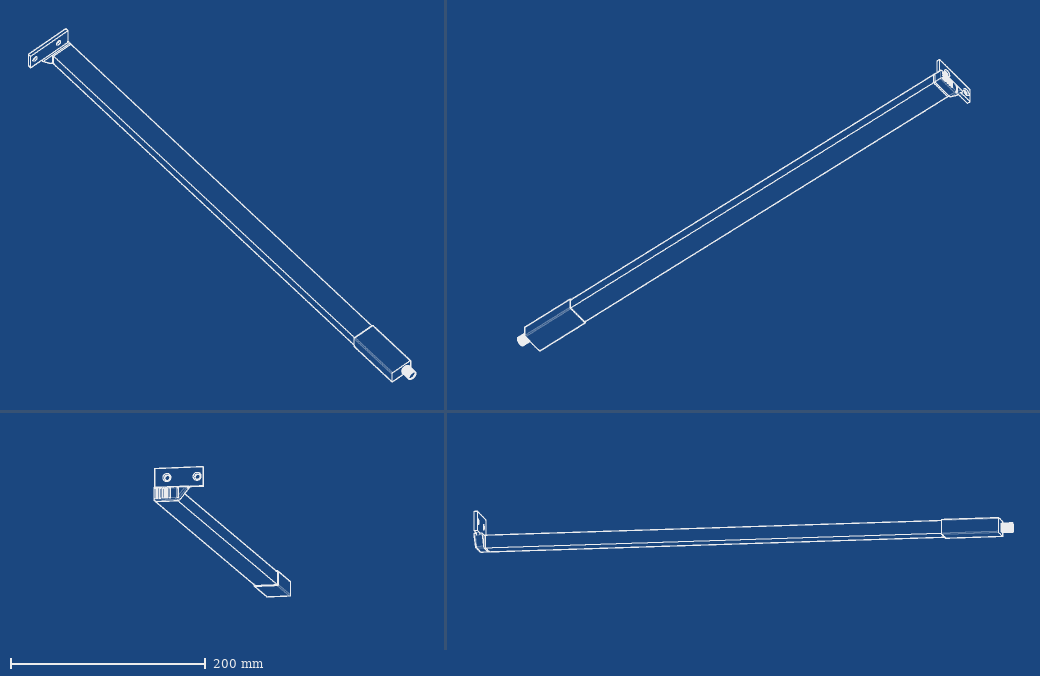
import cadquery as cq
import math

total_length = 558.0

sleeve_width = 25.5
sleeve_height = 15.5
sleeve_start = 487.0
sleeve_end = 546.5
sleeve_corner_radius = 1.0
thread_diameter = 10.0
thread_root_diameter = 9.0
thread_count = 7
thread_pitch = (total_length - sleeve_end) / thread_count
ring_length = thread_pitch / 2
connector_y = sleeve_width - sleeve_height / 2
connector_z = sleeve_height / 2

tube_inset = 1.05
tube_low_y = tube_inset
tube_high_y = sleeve_width - tube_inset
tube_bottom = tube_inset
tube_top = sleeve_height - tube_inset
gasket_start = 9.0
tube_start = 10.5

block_rounding = 1.5
slope_foot_overhang = 1.5
slope_head_overhang = 13.0
slope_foot_y = tube_low_y - slope_foot_overhang
slope_head_y = tube_low_y - slope_head_overhang
slope_foot_radius = 4.0
slope_head_radius = 4.5

plate_start = 3.25
plate_thickness = 3.6
plate_low_y = -27.0
plate_length = 51.0
plate_top = 34.5
hole_diameter = 5.5
countersink_diameter = 8.5
countersink_depth = (countersink_diameter - hole_diameter) / 2
hole_spacing = 32.0
hole_edge_distance = 6.0
first_hole_y = plate_low_y + hole_edge_distance
hole_z = 24.5

groove_width = 1.5
groove_depth = 1.0
groove_end_margin = 1.5
groove_pitch = 2 * groove_width
row_groove_count = 5
row_margin = 3.0
row_first_y = tube_high_y - row_margin
single_groove_y = 0.0


def box(x_range, y_range, z_range):
    """Box spanning the given (low, high) range along each axis."""
    (x0, x1), (y0, y1), (z0, z1) = x_range, y_range, z_range
    return cq.Workplane("XY").box(x1 - x0, y1 - y0, z1 - z0, centered=False).translate((x0, y0, z0))


def make_block():
    """Block with a sloping -Y side, rounded at the slope's foot and around the end face."""
    profile = [
        (tube_high_y, tube_bottom),
        (slope_foot_y, tube_bottom),
        (slope_head_y, tube_top),
        (tube_high_y, tube_top),
    ]
    block = cq.Workplane("YZ").polyline(profile).close().extrude(gasket_start)
    foot = cq.selectors.NearestToPointSelector((gasket_start / 2, slope_foot_y, tube_bottom))
    return block.edges(foot).fillet(slope_foot_radius).faces("<X").edges().fillet(block_rounding)


def make_web():
    """Hollow fillet, as thick as the plate, from the slope's head to the plate's lower edge."""
    slope_angle = math.atan2(tube_top - tube_bottom, slope_foot_y - slope_head_y)
    tangent_length = slope_head_radius * math.tan(slope_angle / 2)
    plate_tangent = (slope_head_y - tangent_length, tube_top)
    slope_tangent = (
        slope_head_y + tangent_length * math.cos(slope_angle),
        tube_top - tangent_length * math.sin(slope_angle),
    )
    arc_middle = (
        plate_tangent[0] + slope_head_radius * math.sin(slope_angle / 2),
        tube_top - slope_head_radius * (1 - math.cos(slope_angle / 2)),
    )
    return (
        cq.Workplane("YZ", origin=(plate_start, 0, 0))
        .moveTo(*plate_tangent)
        .threePointArc(arc_middle, slope_tangent)
        .lineTo(slope_head_y, tube_top)
        .close()
        .extrude(plate_thickness)
    )


def make_plate():
    """Plate standing on the block, with its countersunk holes."""
    plate = box(
        (plate_start, plate_start + plate_thickness),
        (plate_low_y, plate_low_y + plate_length),
        (tube_top, plate_top),
    )
    for hole_y in (first_hole_y, first_hole_y + hole_spacing):
        centre = cq.Vector(plate_start, hole_y, hole_z)
        along = cq.Vector(1, 0, 0)
        hole = cq.Solid.makeCylinder(hole_diameter / 2, plate_thickness, centre, along)
        countersink = cq.Solid.makeCone(
            countersink_diameter / 2, hole_diameter / 2, countersink_depth, centre, along
        )
        plate = plate.cut(cq.Workplane(hole)).cut(cq.Workplane(countersink))
    return plate


def make_groove(high_y):
    """Tool for one upright groove whose +Y wall is at high_y."""
    return box(
        (0, groove_depth),
        (high_y - groove_width, high_y),
        (tube_bottom + groove_end_margin, tube_top - groove_end_margin),
    )


def make_bracket():
    """Block, web and plate in one, with the grooves cut into the end face."""
    bracket = make_block().union(make_web()).union(make_plate())
    row = [row_first_y - i * groove_pitch for i in range(row_groove_count)]
    for high_y in [*row, single_groove_y]:
        bracket = bracket.cut(make_groove(high_y))
    return bracket


def make_section_length(start, end):
    """Straight length of the tube's section."""
    return box((start, end), (tube_low_y, tube_high_y), (tube_bottom, tube_top))


def make_connector():
    """Stub with one raised ring for each turn of the thread."""

    def disc(start, length, diameter):
        face = cq.Workplane("YZ", origin=(start, connector_y, connector_z))
        return face.circle(diameter / 2).extrude(length)

    connector = disc(sleeve_end, total_length - sleeve_end, thread_root_diameter)
    for i in range(thread_count):
        ring_start = sleeve_end + i * thread_pitch + ring_length
        connector = connector.union(disc(ring_start, ring_length, thread_diameter))
    return connector


def make_sleeve():
    """Sleeve with rounded long edges and the connector on its end."""
    body = box((sleeve_start, sleeve_end), (0, sleeve_width), (0, sleeve_height))
    return body.edges("|X").fillet(sleeve_corner_radius).union(make_connector())


bracket = make_bracket()
gasket = make_section_length(gasket_start, tube_start)
tube = make_section_length(tube_start, sleeve_start)
sleeve = make_sleeve()

result = cq.Compound.makeCompound([bracket.val(), gasket.val(), tube.val(), sleeve.val()])